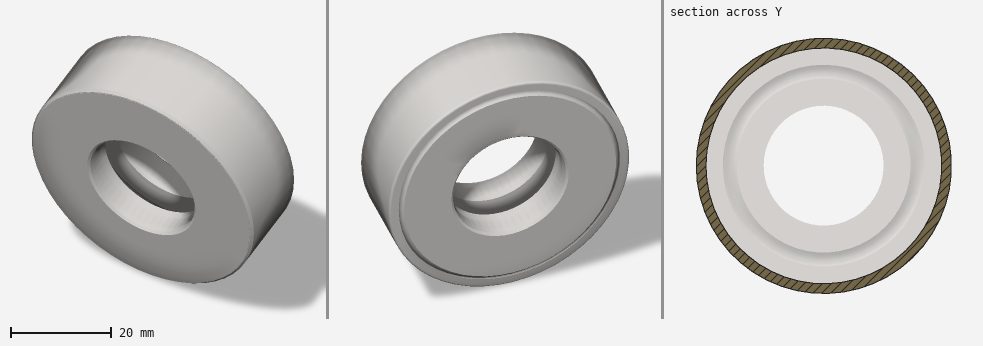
import cadquery as cq
import math


total_length = 17.5
sleeve_setback = 0.05
sleeve_length = 17.0
front_washer_thickness = 6.45
rear_washer_thickness = 6.55
washer_gap = total_length - front_washer_thickness - rear_washer_thickness

outer_diameter = 50.8
front_washer_diameter = 49.45
rear_washer_diameter = 46.75
bore_diameter = 23.8

sleeve_front_chamfer = 0.5
sleeve_rear_fillet = 0.5
bore_chamfer = 0.45
rear_washer_chamfer = 1.0

race_radius = (outer_diameter + bore_diameter) / 4
race_half_width = 1.35
ball_radius = math.hypot(washer_gap / 2, race_half_width)
race_centre_y = front_washer_thickness + washer_gap / 2


def cylinder(diameter, start_y, length):
    """Solid cylinder running along +Y from start_y."""
    plane = cq.Workplane("XZ", origin=(0, start_y, 0))
    return plane.circle(diameter / 2).extrude(-length)


def race_ring():
    """Ball-sized torus that cuts the facing races into both washers."""
    ring = cq.Solid.makeTorus(
        race_radius, ball_radius, cq.Vector(0, race_centre_y, 0), cq.Vector(0, 1, 0)
    )
    return cq.Workplane(ring)


def make_sleeve():
    """Outer ring with a wide front seat and a narrower rear bore."""
    sleeve = cylinder(outer_diameter, sleeve_setback, sleeve_length)
    sleeve = sleeve.faces("<Y").chamfer(sleeve_front_chamfer)
    sleeve = sleeve.faces(">Y").edges().fillet(sleeve_rear_fillet)
    sleeve = sleeve.cut(cylinder(front_washer_diameter, 0, front_washer_thickness))
    return sleeve.cut(cylinder(rear_washer_diameter, 0, total_length))


def make_front_washer():
    """Washer standing slightly proud of the front of the sleeve, race on its rear face."""
    washer = cylinder(front_washer_diameter, 0, front_washer_thickness)
    washer = washer.cut(cylinder(bore_diameter, 0, front_washer_thickness))
    washer = washer.faces("<Y").edges(cq.selectors.RadiusNthSelector(0)).chamfer(bore_chamfer)
    return washer.cut(race_ring())


def make_rear_washer():
    """Washer standing proud of the rear of the sleeve, race on its front face."""
    start_y = total_length - rear_washer_thickness
    washer = cylinder(rear_washer_diameter, start_y, rear_washer_thickness)
    washer = washer.faces(">Y").chamfer(rear_washer_chamfer)
    washer = washer.cut(cylinder(bore_diameter, start_y, rear_washer_thickness))
    washer = washer.faces(">Y").edges(cq.selectors.RadiusNthSelector(0)).chamfer(bore_chamfer)
    return washer.cut(race_ring())


sleeve = make_sleeve()
front_washer = make_front_washer()
rear_washer = make_rear_washer()

result = cq.Compound.makeCompound([sleeve.val(), front_washer.val(), rear_washer.val()])